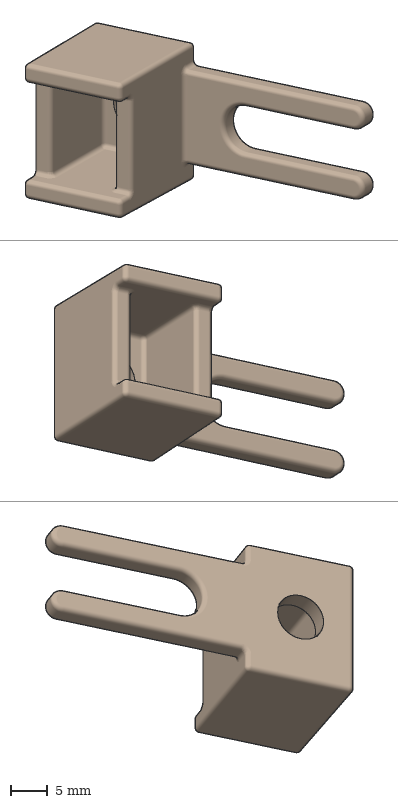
import cadquery as cq
import math


length = 44.45
box_width = 15.85
box_height = 19.8
box_depth = 19.05
draft = 0.5
floor_thickness = 2.85
cavity_width = 9.85
cavity_height = 13.85
notch_depth = 2.8
hole_diameter = 6.75
fork_thickness = 3.0
prong_width = 3.38
slot_width = 6.8
slot_length = 22.2
edge_radius = 0.65

box_side = box_width / 2
fork_tip = length - box_side
fork_height = slot_width + 2 * prong_width
prong_radius = prong_width / 2
prong_offset = slot_width / 2 + prong_radius
cavity_depth = box_depth - floor_thickness
draft_slope = math.tan(math.radians(draft))


def plane_at(y):
    """XZ plane at the given Y, facing the open front (-Y)."""
    return cq.Workplane("XZ", origin=(0, y, 0))


def drafted_block(rear, width, height, depth, slope):
    """Block from the rear plane to the front whose four walls move outwards by slope."""
    growth = 2 * depth * slope
    block = plane_at(rear).rect(width, height).workplane(offset=depth)
    return block.rect(width + growth, height + growth).loft(ruled=True)


def make_notch():
    """Channel across both side walls, level with the drafted cavity walls."""
    front_half = cavity_height / 2 + cavity_depth * draft_slope
    rear_half = front_half - notch_depth * draft_slope
    front = -box_depth
    rear = front + notch_depth
    outline = [(front, -front_half), (rear, -rear_half), (rear, rear_half), (front, front_half)]
    return cq.Workplane("YZ").polyline(outline).close().extrude(box_side, both=True)


def make_fork():
    """Flat tongue with two round-ended prongs, flush with the back of the box."""
    prong_end = fork_tip - prong_radius
    slot_start = fork_tip - slot_length
    slot_center = slot_start + slot_width / 2
    outer = fork_height / 2
    inner = slot_width / 2
    outline = (
        plane_at(0)
        .moveTo(0, -outer)
        .lineTo(prong_end, -outer)
        .threePointArc((fork_tip, -prong_offset), (prong_end, -inner))
        .lineTo(slot_center, -inner)
        .threePointArc((slot_start, 0), (slot_center, inner))
        .lineTo(prong_end, inner)
        .threePointArc((fork_tip, prong_offset), (prong_end, outer))
        .lineTo(0, outer)
        .close()
    )
    return outline.extrude(fork_thickness)


def is_smooth_seam(edge):
    """True for the edges along Y where a fork round runs smoothly into a straight side."""
    bounds = edge.BoundingBox()
    return bounds.xmin > box_side and bounds.ylen > fork_thickness / 2


box = drafted_block(0, box_width, box_height, box_depth, -draft_slope)
cavity = drafted_block(-floor_thickness, cavity_width, cavity_height, cavity_depth, draft_slope)
body = box.union(make_fork()).cut(cavity).cut(make_notch()).clean()

sharp_edges = body.edges().filter(lambda edge: not is_smooth_seam(edge))
rounded_body = sharp_edges.fillet(edge_radius)

hole = plane_at(0).circle(hole_diameter / 2).extrude(floor_thickness)
result = rounded_body.cut(hole)